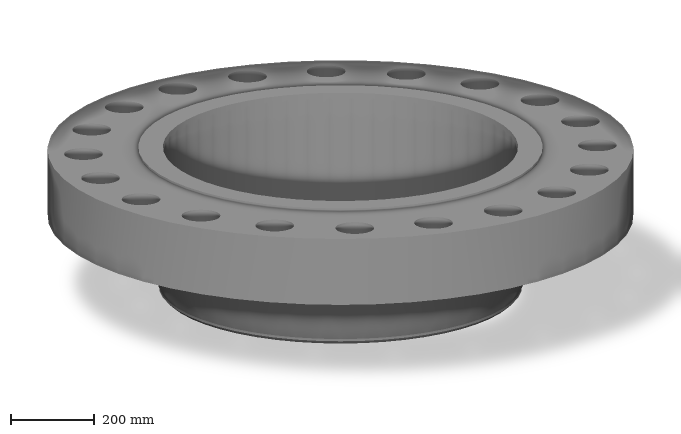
import cadquery as cq

flange_diameter = 1397.0
flange_thickness = 165.0
bore_diameter = 847.0

face_diameter = 964.0
face_height = 7.0

total_height = 356.0
neck_base_diameter = 1006.0
neck_end_diameter = 866.0
neck_fillet_radius = 20.0
weld_land_height = 5.0
weld_bevel_height = 8.0
weld_bevel_width = 8.0

bolt_count = 20
bolt_circle_diameter = 1227.0
bolt_hole_diameter = 92.0

flange_bottom = total_height - face_height - flange_thickness
flange_top = flange_bottom + flange_thickness
taper_bottom = weld_bevel_height + weld_land_height


def make_body():
    """Revolve the half section of the flange, sealing face and neck about Z, then round the neck root."""
    bore_radius = bore_diameter / 2
    neck_end_radius = neck_end_diameter / 2
    section = [
        (bore_radius, 0),
        (neck_end_radius - weld_bevel_width, 0),
        (neck_end_radius, weld_bevel_height),
        (neck_end_radius, taper_bottom),
        (neck_base_diameter / 2, flange_bottom),
        (flange_diameter / 2, flange_bottom),
        (flange_diameter / 2, flange_top),
        (face_diameter / 2, flange_top),
        (face_diameter / 2, total_height),
        (bore_radius, total_height),
    ]
    body = cq.Workplane("XZ").polyline(section).close().revolve(360, (0, 0), (0, 1))
    neck_root = cq.selectors.RadiusNthSelector(-2)
    return body.edges("%CIRCLE").edges(neck_root).fillet(neck_fillet_radius)


def make_bolt_holes():
    """Cylinders on the bolt circle, the first one on the +X axis."""
    return (
        cq.Workplane("XY")
        .workplane(offset=flange_bottom)
        .polarArray(bolt_circle_diameter / 2, 0, 360, bolt_count)
        .circle(bolt_hole_diameter / 2)
        .extrude(flange_thickness)
    )


result = make_body().cut(make_bolt_holes())